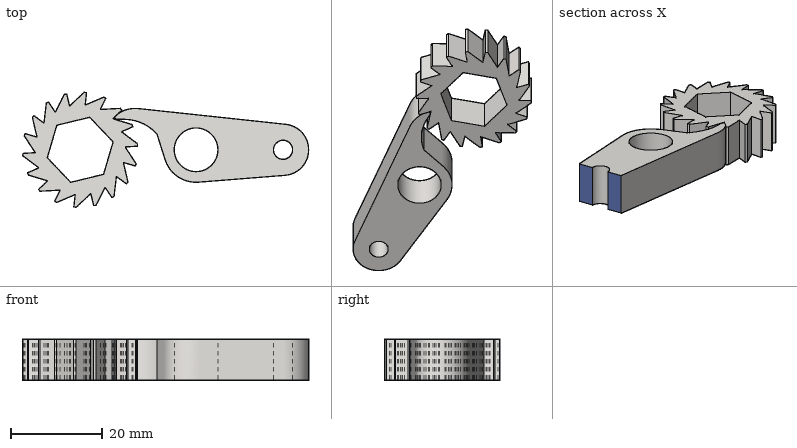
import cadquery as cq
import math

thickness = 9.0
tooth_count = 18
tooth_pitch = 360 / tooth_count
root_radius = 9.9
tip_radius = 12.65
tip_inner_radius = 12.6
face_angle = 3.5
tip_width_angle = 2.5
hex_circumradius = 7.4
hex_angle = 13.6

overall_length = 62.7
hole_spacing = 19.05
pivot_hole_radius = 4.75
tail_hole_radius = 2.05
hub_radius = 7.15
tail_radius = 5.65
wheel_reach = tip_radius * math.cos(math.radians(face_angle + tip_width_angle))
tail_x = overall_length - wheel_reach - tail_radius
pivot_x = tail_x - hole_spacing
back_slope = -6.1
throat_slope = -72.4

nose_tooth = 2
nose_angle = face_angle + nose_tooth * tooth_pitch
nose_point_radius = 10.2
nose_heel_radius = 11.65
nose_under = (7.9, 6.65)
lip_end = (9.8, 6.65)
hollow_mid = (14.3, 5.45)
hollow_end_x = 16.8
crown_mid = (10.2, 8.85)
crown_end_x = 12.85


def polar(radius, angle, center_x=0):
    """Point at a radius and an angle in degrees about a centre on the X axis."""
    a = math.radians(angle)
    return (center_x + radius * math.cos(a), radius * math.sin(a))


def point_on_line(start, slope, x):
    """Point at a given x on the line through start with a slope in degrees."""
    return (x, start[1] + (x - start[0]) * math.tan(math.radians(slope)))


def make_wheel():
    outline = []
    for i in range(tooth_count):
        angle = face_angle + i * tooth_pitch
        outline.append(polar(root_radius, angle))
        outline.append(polar(tip_inner_radius, angle))
        outline.append(polar(tip_radius, angle + tip_width_angle))
    blank = cq.Workplane("XY").polyline(outline).close().extrude(thickness)
    hexagon = [polar(hex_circumradius, hex_angle + 60 * i) for i in range(6)]
    bore = cq.Workplane("XY").polyline(hexagon).close().extrude(thickness)
    return blank.cut(bore)


def make_pawl():
    belly_slope = math.degrees(math.asin((hub_radius - tail_radius) / hole_spacing))
    belly_normal = belly_slope - 90
    back_normal = back_slope + 90
    throat_normal = throat_slope - 90
    tail_top = polar(tail_radius, back_normal, tail_x)
    tail_end = polar(tail_radius, (back_normal + belly_normal) / 2, tail_x)
    tail_bottom = polar(tail_radius, belly_normal, tail_x)
    hub_bottom = polar(hub_radius, belly_normal, pivot_x)
    hub_mid = polar(hub_radius, (belly_normal + throat_normal) / 2, pivot_x)
    hub_left = polar(hub_radius, throat_normal, pivot_x)

    body = (
        cq.Workplane("XY")
        .moveTo(*polar(nose_point_radius, nose_angle))
        .lineTo(*polar(nose_heel_radius, nose_angle))
        .threePointArc(crown_mid, point_on_line(tail_top, back_slope, crown_end_x))
        .lineTo(*tail_top)
        .threePointArc(tail_end, tail_bottom)
        .lineTo(*hub_bottom)
        .threePointArc(hub_mid, hub_left)
        .lineTo(*point_on_line(hub_left, throat_slope, hollow_end_x))
        .threePointArc(hollow_mid, lip_end)
        .lineTo(*nose_under)
        .close()
        .extrude(thickness)
    )
    pivot_hole = cq.Workplane("XY").center(pivot_x, 0).circle(pivot_hole_radius).extrude(thickness)
    tail_hole = cq.Workplane("XY").center(tail_x, 0).circle(tail_hole_radius).extrude(thickness)
    return body.cut(pivot_hole).cut(tail_hole)


wheel = make_wheel()
pawl = make_pawl()

result = cq.Compound.makeCompound([wheel.val(), pawl.val()])